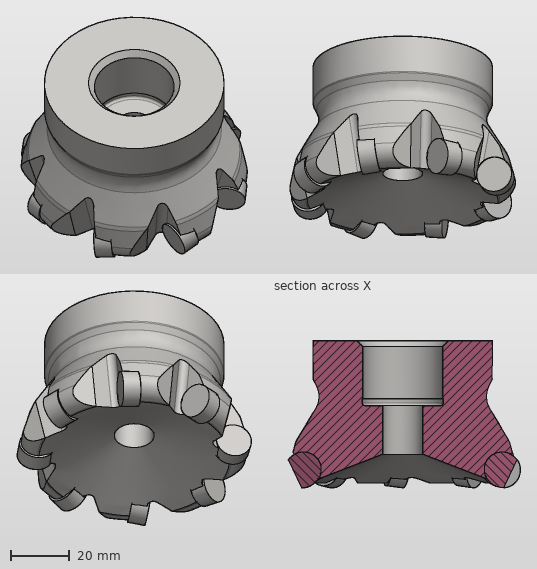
import cadquery as cq
import math

TEETH = 8
TOOTH_PITCH = 360 / TEETH

TOTAL_HEIGHT = 50.0
BODY_BOTTOM = 1.6
HUB_DIAMETER = 61.0
HUB_BOTTOM = 36.95
HUB_CORNER_RADIUS = 0.95
NECK_Z = 30.6
NECK_UPPER_SLOPE = 26.0
NECK_LOWER_SLOPE = 31.0
NECK_RADIUS = 7.75
SHOULDER_Z = 15.9
SHOULDER_RADIUS = 5.6
TOOTH_SLOPE = 15.0
TOOTH_CORNER_RADIUS = 5.5
DISH_DIAMETER = 64.8
DISH_SLOPE = 21.0

BORE_DIAMETER = 27.0
BORE_CHAMFER = 2.0
BORE_BOTTOM = 30.4
UNDERCUT_DIAMETER = 27.5
UNDERCUT_HEIGHT = 2.4
UNDERCUT_FILLET = 0.9
SCREW_HOLE_DIAMETER = 13.5

INSERT_DIAMETER = 12.0
INSERT_THICKNESS = 6.0
INSERT_PROUD = 0.7
CUTTER_WIDTH = 80.0
INSERT_CENTRE_Y = -0.8
RADIAL_TURN = 15.0
AXIAL_LEAN = 7.0
FACE_NORMAL_X = math.cos(math.radians(AXIAL_LEAN)) * math.sin(math.radians(RADIAL_TURN))
INSERT_CENTRE_X = CUTTER_WIDTH / 2 - INSERT_DIAMETER / 2 * math.sqrt(1 - FACE_NORMAL_X**2)
INSERT_CENTRE_Z = INSERT_DIAMETER / 2 * math.cos(math.radians(AXIAL_LEAN))

GULLET_SLOPE = 11.5
GULLET_ROOT_X = -7.8
GULLET_EDGE_X = -4.4
GULLET_EDGE_Y = -8.1
GULLET_ROOT_RADIUS = 2.2
GULLET_REACH = 24.0


def cone_rise(height, slope):
    """Change of radius over a height for a cone at the given angle to the axis."""
    return height * math.tan(math.radians(slope))


def ring_edge(radius, z):
    """Selects the circular edge about Z that passes through the given radius and height."""
    margin = 0.01
    return cq.selectors.BoxSelector(
        (-radius - margin, -radius - margin, z - margin),
        (radius + margin, radius + margin, z + margin),
        boundingbox=True,
    )


def make_blank():
    """Turned outside shape, before the bore, gullets and insert pockets."""
    hub_r = HUB_DIAMETER / 2
    neck_r = hub_r - cone_rise(HUB_BOTTOM - NECK_Z, NECK_UPPER_SLOPE)
    shoulder_r = neck_r + cone_rise(NECK_Z - SHOULDER_Z, NECK_LOWER_SLOPE)
    bottom_r = shoulder_r + cone_rise(SHOULDER_Z - BODY_BOTTOM, TOOTH_SLOPE)
    profile = [
        (0, TOTAL_HEIGHT),
        (hub_r, TOTAL_HEIGHT),
        (hub_r, HUB_BOTTOM),
        (neck_r, NECK_Z),
        (shoulder_r, SHOULDER_Z),
        (bottom_r, BODY_BOTTOM),
        (0, BODY_BOTTOM),
    ]
    blank = cq.Workplane("XZ").polyline(profile).close().revolve(360, (0, 0), (0, 1))
    blank = blank.edges(ring_edge(hub_r, HUB_BOTTOM)).fillet(HUB_CORNER_RADIUS)
    blank = blank.edges(ring_edge(neck_r, NECK_Z)).fillet(NECK_RADIUS)
    blank = blank.edges(ring_edge(shoulder_r, SHOULDER_Z)).fillet(SHOULDER_RADIUS)
    return blank.edges(ring_edge(bottom_r, BODY_BOTTOM)).fillet(TOOTH_CORNER_RADIUS)


def make_bore():
    """Stepped bore as a turned cutter: chamfer, bore, undercut and through hole."""
    bore_r = BORE_DIAMETER / 2
    undercut_r = UNDERCUT_DIAMETER / 2
    hole_r = SCREW_HOLE_DIAMETER / 2
    floor_z = BORE_BOTTOM - UNDERCUT_HEIGHT
    fillet_reach = UNDERCUT_FILLET * (1 - math.sqrt(0.5))
    return (
        cq.Workplane("XZ")
        .moveTo(0, TOTAL_HEIGHT)
        .lineTo(bore_r + BORE_CHAMFER, TOTAL_HEIGHT)
        .lineTo(bore_r, TOTAL_HEIGHT - BORE_CHAMFER)
        .lineTo(bore_r, BORE_BOTTOM)
        .lineTo(undercut_r, BORE_BOTTOM - (undercut_r - bore_r))
        .lineTo(undercut_r, floor_z + UNDERCUT_FILLET)
        .threePointArc(
            (undercut_r - fillet_reach, floor_z + fillet_reach),
            (undercut_r - UNDERCUT_FILLET, floor_z),
        )
        .lineTo(hole_r, floor_z)
        .lineTo(hole_r, BODY_BOTTOM)
        .lineTo(0, BODY_BOTTOM)
        .close()
        .revolve(360, (0, 0), (0, 1))
    )


def make_dish():
    """Hollow cone that relieves the underside inside the tooth rims."""
    dish_r = DISH_DIAMETER / 2
    dish_height = dish_r * math.tan(math.radians(DISH_SLOPE))
    return cq.Workplane(cq.Solid.makeCone(dish_r, 0, dish_height, pnt=(0, 0, BODY_BOTTOM)))


def place_at_tooth(shape, index):
    """Moves a shape from the insert frame to its place on one tooth."""
    return (
        shape.rotate((0, 0, 0), (1, 0, 0), AXIAL_LEAN)
        .rotate((0, 0, 0), (0, 0, 1), RADIAL_TURN)
        .translate((INSERT_CENTRE_X, INSERT_CENTRE_Y, INSERT_CENTRE_Z))
        .rotate((0, 0, 0), (0, 0, 1), index * TOOTH_PITCH)
    )


def make_insert(index):
    """Round insert, its cutting face through the origin of the insert frame."""
    disc = cq.Workplane("XZ").circle(INSERT_DIAMETER / 2).extrude(-INSERT_THICKNESS)
    return place_at_tooth(disc, index)


def make_gullet(index):
    """Chip gullet cutter: tooth face, rounded root, floor and the flat on the next tooth's back."""
    outline = [
        (GULLET_REACH, INSERT_PROUD),
        (GULLET_ROOT_X, INSERT_PROUD),
        (GULLET_EDGE_X, GULLET_EDGE_Y),
        (GULLET_EDGE_X, -GULLET_REACH),
        (GULLET_REACH, -GULLET_REACH),
    ]
    gullet = (
        cq.Workplane("XY")
        .polyline(outline)
        .close()
        .extrude(GULLET_REACH, both=True)
        .edges(cq.selectors.NearestToPointSelector((GULLET_ROOT_X, INSERT_PROUD, 0)))
        .fillet(GULLET_ROOT_RADIUS)
        .rotate((0, 0, 0), (0, 1, 0), GULLET_SLOPE)
    )
    return place_at_tooth(gullet, index)


inserts = [make_insert(index) for index in range(TEETH)]

cutter_body = make_blank().cut(make_bore()).cut(make_dish())
for index in range(TEETH):
    cutter_body = cutter_body.cut(make_gullet(index)).cut(inserts[index])

result = cq.Compound.makeCompound([cutter_body.val(), *(insert.val() for insert in inserts)])